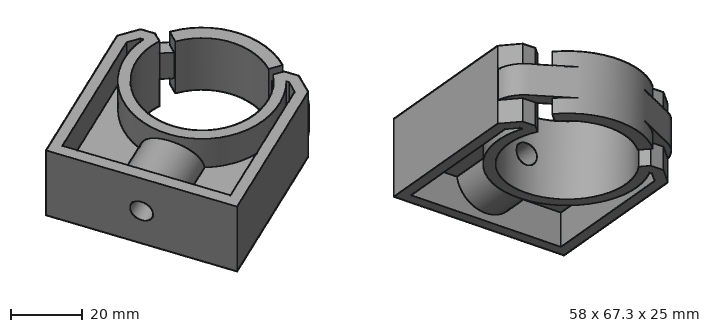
import cadquery as cq
import math

body_width = 58.0
body_height = 25.0
base_y = -43.0
body_top_y = 12.55
shoulder_chamfer = 5.0
wall = 3.5

bore_radius = 20.0
ring_radius = bore_radius + wall

web_thickness = 3.0
boss_diameter = 20.0
screw_hole_diameter = 7.0

cap_radius = 24.28
cap_height = 20.0
cap_half_angle = 45.0
cap_gap = 5.0

strap_height = 10.0
strap_slope = 28.0
strap_bend_radius = 10.0
strap_thickness = cap_radius - bore_radius

half_width = body_width / 2
inner_half_width = half_width - wall


def centred_slab(outline, height):
    """Extrude a closed outline to the given height, centred on Z = 0."""
    return outline.extrude(height / 2, both=True)


def disc(radius, height):
    return centred_slab(cq.Workplane("XY").circle(radius), height)


def shouldered_outline(half, bottom, top, shoulder):
    """Rectangle with its two upper corners chamfered at 45 degrees."""
    return cq.Workplane("XY").polyline([
        (-half, bottom),
        (half, bottom),
        (half, top - shoulder),
        (half - shoulder, top),
        (-half + shoulder, top),
        (-half, top - shoulder),
    ]).close()


def wedge(half_angle, apex_y, height):
    """Upward-opening V prism, symmetric about the Y axis."""
    reach = 2 * cap_radius
    half_spread = reach * math.tan(math.radians(half_angle))
    outline = cq.Workplane("XY").polyline([
        (0, apex_y),
        (half_spread, apex_y + reach),
        (-half_spread, apex_y + reach),
    ]).close()
    return centred_slab(outline, height)


def make_block():
    outline = shouldered_outline(half_width, base_y, body_top_y, shoulder_chamfer)
    return centred_slab(outline, body_height)


def make_pockets():
    """Space between outer wall and ring, above and below the web."""
    inner_chamfer = shoulder_chamfer - wall * (2 - math.sqrt(2))
    outline = shouldered_outline(
        inner_half_width, base_y + wall, body_top_y - wall, inner_chamfer
    )
    space = centred_slab(outline, body_height)
    web = centred_slab(cq.Workplane("XY").rect(2 * body_width, 2 * body_width), web_thickness)
    return space.cut(web).cut(disc(ring_radius, body_height))


def along_y(diameter, start_y):
    """Cylinder on the Y axis, from start_y up to the pipe axis."""
    return cq.Workplane("XZ", origin=(0, start_y, 0)).circle(diameter / 2).extrude(start_y)


def make_cap():
    ring = disc(cap_radius, cap_height).cut(disc(bore_radius, cap_height))
    return ring.intersect(wedge(cap_half_angle, 0, cap_height))


def make_strap():
    """Right-hand strap: tangent to the cap, then bent down into the body side."""
    slope = math.radians(strap_slope)
    normal = (math.sin(slope), math.cos(slope))
    bend_inner_radius = strap_bend_radius - strap_thickness

    bend_x = half_width - strap_bend_radius
    bend_y = (cap_radius - strap_bend_radius - bend_x * normal[0]) / normal[1]

    def on_bend(radius, angle):
        return (bend_x + radius * math.cos(angle), bend_y + radius * math.sin(angle))

    end_angle = math.pi / 2 - slope
    mid_angle = end_angle / 2
    outline = (
        cq.Workplane("XY")
        .moveTo(cap_radius * normal[0], cap_radius * normal[1])
        .lineTo(*on_bend(strap_bend_radius, end_angle))
        .threePointArc(on_bend(strap_bend_radius, mid_angle), on_bend(strap_bend_radius, 0))
        .lineTo(*on_bend(bend_inner_radius, 0))
        .threePointArc(on_bend(bend_inner_radius, mid_angle), on_bend(bend_inner_radius, end_angle))
        .lineTo(bore_radius * normal[0], bore_radius * normal[1])
        .close()
    )
    return centred_slab(outline, strap_height)


lip_opening = wedge(cap_half_angle, -cap_gap * math.sqrt(2), body_height)
body = make_block().cut(lip_opening)

strap = make_strap()
body = body.union(make_cap()).union(strap).union(strap.mirror("YZ"))

body = body.cut(make_pockets())
body = body.union(along_y(boss_diameter, base_y + wall))
body = body.cut(disc(bore_radius, body_height))
result = body.cut(along_y(screw_hole_diameter, base_y))